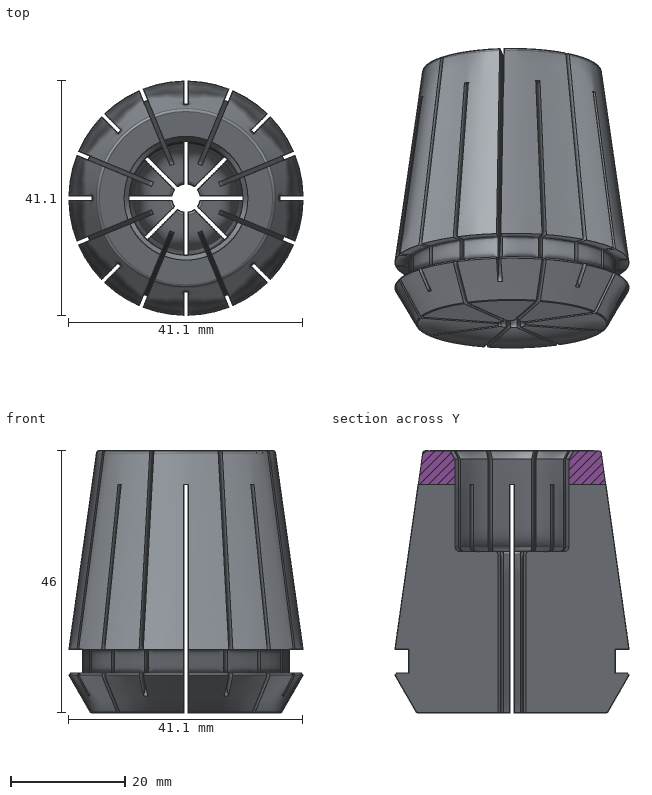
import cadquery as cq
import math

HEIGHT = 46.0
RIM_DIAMETER = 41.1
RIM_RADIUS = RIM_DIAMETER / 2
BODY_CONE_ANGLE = 8.0
NOSE_CONE_ANGLE = 30.0
BODY_BASE_Z = 11.15
FLANGE_TOP_Z = 7.0
GROOVE_RADIUS = 18.12
GROOVE_FILLET = 0.2
FLANGE_CHAMFER = 0.35
TOP_FILLET = 0.5
BOTTOM_CHAMFER = 0.15

BORE_RADIUS = 10.0
BORE_FLOOR_Z = 28.3
BORE_FLOOR_FILLET = 0.85
MOUTH_DEPTH = 1.5
MOUTH_ANGLE = 30.0
HOLE_RADIUS = 2.5
HOLE_EDGE_FILLET = 0.45

SLOT_COUNT = 8
SLOT_WIDTH = 0.8
LOWER_SLOT_TOP_Z = 40.0
UPPER_SLOT_EXIT_Z = 3.0
UPPER_SLOT_FLOOR_ANGLE = 64.5
SLOT_OVERRUN = 2.3


def tan_deg(angle):
    return math.tan(math.radians(angle))


def nose_radius(z):
    """Radius of the lower cone at height z."""
    flange_edge_z = FLANGE_TOP_Z - FLANGE_CHAMFER
    return RIM_RADIUS - (flange_edge_z - z) * tan_deg(NOSE_CONE_ANGLE)


def make_body():
    """Solid of revolution with the two outer cones and the groove between them."""
    top_radius = RIM_RADIUS - (HEIGHT - BODY_BASE_Z) * tan_deg(BODY_CONE_ANGLE)
    profile = (
        cq.Workplane("XZ")
        .moveTo(0, 0)
        .lineTo(nose_radius(0), 0)
        .lineTo(RIM_RADIUS, FLANGE_TOP_Z - FLANGE_CHAMFER)
        .lineTo(RIM_RADIUS - FLANGE_CHAMFER, FLANGE_TOP_Z)
        .lineTo(GROOVE_RADIUS + GROOVE_FILLET, FLANGE_TOP_Z)
        .radiusArc((GROOVE_RADIUS, FLANGE_TOP_Z + GROOVE_FILLET), GROOVE_FILLET)
        .lineTo(GROOVE_RADIUS, BODY_BASE_Z - GROOVE_FILLET)
        .radiusArc((GROOVE_RADIUS + GROOVE_FILLET, BODY_BASE_Z), GROOVE_FILLET)
        .lineTo(RIM_RADIUS, BODY_BASE_Z)
        .lineTo(top_radius, HEIGHT)
        .lineTo(0, HEIGHT)
        .close()
    )
    body = profile.revolve(360, (0, 0, 0), (0, 1, 0))
    body = body.faces(">Z").edges().fillet(TOP_FILLET)
    return body.faces("<Z").edges().chamfer(BOTTOM_CHAMFER)


def make_opening():
    """Stepped bore with a flared mouth, a rounded floor corner and a small through hole."""
    mouth_radius = BORE_RADIUS + MOUTH_DEPTH * tan_deg(MOUTH_ANGLE)
    edge_radius = HOLE_RADIUS + HOLE_EDGE_FILLET
    floor_radius = BORE_RADIUS - BORE_FLOOR_FILLET
    profile = (
        cq.Workplane("XZ")
        .moveTo(0, 0)
        .lineTo(HOLE_RADIUS, 0)
        .lineTo(HOLE_RADIUS, BORE_FLOOR_Z - HOLE_EDGE_FILLET)
        .radiusArc((edge_radius, BORE_FLOOR_Z), HOLE_EDGE_FILLET)
        .lineTo(floor_radius, BORE_FLOOR_Z)
        .radiusArc((BORE_RADIUS, BORE_FLOOR_Z + BORE_FLOOR_FILLET), -BORE_FLOOR_FILLET)
        .lineTo(BORE_RADIUS, HEIGHT - MOUTH_DEPTH)
        .lineTo(mouth_radius, HEIGHT)
        .lineTo(0, HEIGHT)
        .close()
    )
    return profile.revolve(360, (0, 0, 0), (0, 1, 0))


def slot_cutter(radial_outline):
    """Slot of the common width from an outline of (radius, height) points."""
    return cq.Workplane("XZ").polyline(radial_outline).close().extrude(SLOT_WIDTH / 2, both=True)


def cut_slots(body, cutter, first_angle):
    """Cut one evenly spaced set of radial slots."""
    for index in range(SLOT_COUNT):
        angle = first_angle + index * 360 / SLOT_COUNT
        body = body.cut(cutter.rotate((0, 0, 0), (0, 0, 1), angle))
    return body


slot_outer_radius = RIM_RADIUS + SLOT_OVERRUN

lower_slot = slot_cutter([
    (0, -SLOT_OVERRUN),
    (slot_outer_radius, -SLOT_OVERRUN),
    (slot_outer_radius, LOWER_SLOT_TOP_Z),
    (0, LOWER_SLOT_TOP_Z),
])

floor_slope = tan_deg(UPPER_SLOT_FLOOR_ANGLE)
exit_radius = nose_radius(UPPER_SLOT_EXIT_Z)
upper_slot = slot_cutter([
    (0, UPPER_SLOT_EXIT_Z + exit_radius * floor_slope),
    (slot_outer_radius, UPPER_SLOT_EXIT_Z - (slot_outer_radius - exit_radius) * floor_slope),
    (slot_outer_radius, HEIGHT + SLOT_OVERRUN),
    (0, HEIGHT + SLOT_OVERRUN),
])

result = make_body().cut(make_opening())
result = cut_slots(result, upper_slot, 180 / SLOT_COUNT)
result = cut_slots(result, lower_slot, 0)